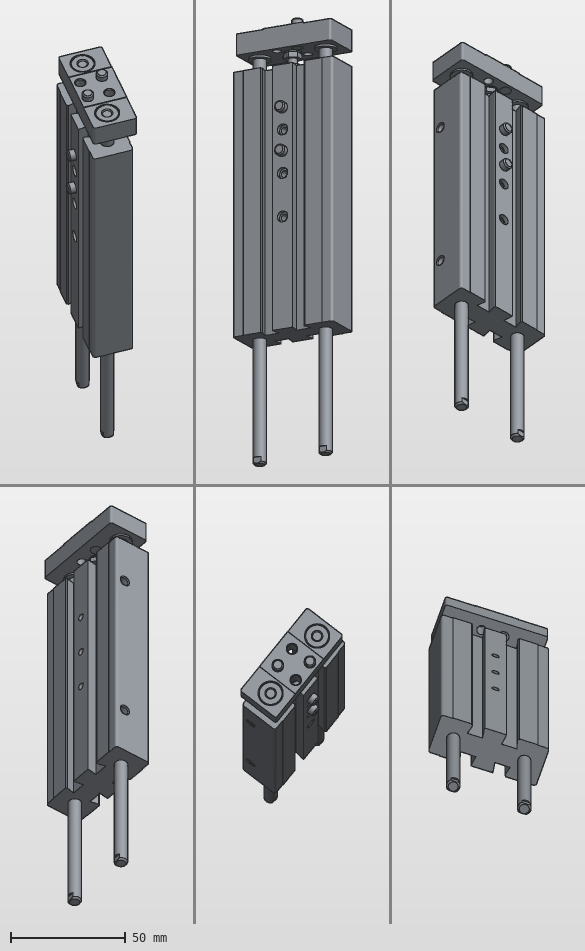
import cadquery as cq
import math

TOTAL_HEIGHT = 200.5
MID_Y = -1.3

HOUSING_WIDTH = 50.0
HOUSING_BOTTOM = 57.5
HOUSING_TOP = 179.5
BODY_HALF_DEPTH = 9.2
PAD_HALF_DEPTH = 9.5
CORNER_RADIUS = 1.2
CENTER_PAD_HALF_WIDTH = 5.0
SIDE_PAD_INNER_X = 11.0
SIDE_PAD_OUTER_X = 19.7

GROOVE_DEPTH = 4.8
GROOVE_FLOOR_INNER_X = 4.5
GROOVE_FLOOR_OUTER_X = 11.5
GROOVE_LIP_X = 10.5
GROOVE_LIP_DEPTH = 0.8

HOLE_PITCH = 10.0
FIRST_HOLE_DROP = 20.0
PINNED_STEPS = (0, 2)
OPEN_STEPS = (1, 3, 5)
MOUNT_HOLE_DIAMETER = 3.2
MOUNT_HOLE_MOUTH = 5.0
MOUNT_MOUTH_DEPTH = 2.0

PORT_Y = 3.2
PORT_HEIGHTS = (81.0, 156.0)
PORT_DIAMETER = 4.0
PORT_MOUTH = 5.0
PORT_DEPTH = 5.0
DRILL_TIP_ANGLE = 118.0

PLATE_WIDTH = 47.5
PLATE_DEPTH = 20.0
PLATE_BOTTOM = 187.4
PLATE_HEIGHT = 9.8
PLATE_RADIUS = 1.0
PLATE_PAD_WIDTH = 20.0
PLATE_PAD_HEIGHT = 0.5
PLATE_HOLE_OFFSET = 5.0
PLATE_HOLE_DIAMETER = 4.2
PLATE_HOLE_MOUTH = 5.0

PIN_DIAMETER = 5.0
PIN_CHAMFER = 0.6
FRONT_PIN_OVERHANG = 3.2
FRONT_PIN_SEAT = 5.0

ROD_X = 16.5
ROD_DIAMETER = 6.0
ROD_HEAD_DIAMETER = 10.0
ROD_HEAD_DROP = 1.0
HEAD_HOLE_MOUTH = 11.0
ROD_CENTER_DIAMETER = 4.0
ROD_CENTER_MOUTH = 5.0
ROD_END_CHAMFER = 0.8
ROD_FLAT_WIDTH = 4.8
ROD_FLAT_LENGTH = 3.0

PISTON_DIAMETER = 4.2
HEX_ACROSS_FLATS = 7.0
COLLAR_DIAMETER = 8.0
COLLAR_HEIGHT = 0.6
UPPER_HEX_BOTTOM = 184.4
LOWER_HEX_TOP = 181.3
PISTON_SEAT = 10.0

HOUSING_LENGTH = HOUSING_TOP - HOUSING_BOTTOM
PLATE_TOP = PLATE_BOTTOM + PLATE_HEIGHT
HEX_ACROSS_CORNERS = HEX_ACROSS_FLATS / math.cos(math.pi / 6)
FRONT_Y = MID_Y - PAD_HALF_DEPTH
FRONT_PIN_END_Y = FRONT_Y - FRONT_PIN_OVERHANG
PAD_TOP = PLATE_TOP + PLATE_PAD_HEIGHT
PLATE_PIN_HOLES = [(side * PLATE_HOLE_OFFSET, MID_Y - side * PLATE_HOLE_OFFSET) for side in (-1, 1)]
PLATE_OPEN_HOLES = [(side * PLATE_HOLE_OFFSET, MID_Y + side * PLATE_HOLE_OFFSET) for side in (-1, 1)]


def cylinder(diameter, x, y, bottom, top):
    """Upright cylinder between two heights."""
    return cq.Workplane("XY", origin=(x, y, bottom)).circle(diameter / 2).extrude(top - bottom)


def block(x_min, x_max, y_min, y_max, bottom, top):
    """Box given by its limits."""
    return cq.Workplane("XY").box(x_max - x_min, y_max - y_min, top - bottom, centered=False).translate(
        (x_min, y_min, bottom)
    )


def upright_cone(wide, narrow, x, y, top):
    """45 degree countersink opening upward, widest at the given height."""
    depth = (wide - narrow) / 2
    cone = cq.Solid.makeCone(wide / 2, narrow / 2, depth, cq.Vector(x, y, top), cq.Vector(0, 0, -1))
    return cq.Workplane(cone)


def hexagon(bottom, top):
    """Hexagonal nut on the piston axis, with corners toward -Y and +Y."""
    nut = cq.Workplane("XY").polygon(6, HEX_ACROSS_CORNERS).extrude(top - bottom)
    return nut.rotate((0, 0, 0), (0, 0, 1), 90).translate((0, MID_Y, bottom))


def hole_height(step):
    return HOUSING_TOP - FIRST_HOLE_DROP - step * HOLE_PITCH


def housing_blank():
    half_width = HOUSING_WIDTH / 2
    blank = block(
        -half_width, half_width, MID_Y - BODY_HALF_DEPTH, MID_Y + BODY_HALF_DEPTH, HOUSING_BOTTOM, HOUSING_TOP
    )
    blank = blank.edges("|Z").fillet(CORNER_RADIUS)
    pads = (
        (-SIDE_PAD_OUTER_X, -SIDE_PAD_INNER_X),
        (-CENTER_PAD_HALF_WIDTH, CENTER_PAD_HALF_WIDTH),
        (SIDE_PAD_INNER_X, SIDE_PAD_OUTER_X),
    )
    for x_min, x_max in pads:
        blank = blank.union(
            block(x_min, x_max, MID_Y - PAD_HALF_DEPTH, MID_Y + PAD_HALF_DEPTH, HOUSING_BOTTOM, HOUSING_TOP)
        )
    return blank


def sensor_groove(side_x, side_y):
    """Full-length undercut groove; the sides are -1 or +1 and pick one of the four grooves."""
    section = [
        (CENTER_PAD_HALF_WIDTH, PAD_HALF_DEPTH),
        (CENTER_PAD_HALF_WIDTH, PAD_HALF_DEPTH - GROOVE_LIP_DEPTH),
        (GROOVE_FLOOR_INNER_X, PAD_HALF_DEPTH - GROOVE_DEPTH),
        (GROOVE_FLOOR_OUTER_X, PAD_HALF_DEPTH - GROOVE_DEPTH),
        (GROOVE_LIP_X, PAD_HALF_DEPTH - GROOVE_LIP_DEPTH),
        (SIDE_PAD_INNER_X, PAD_HALF_DEPTH),
    ]
    outline = [(side_x * x, side_y * depth) for x, depth in section]
    start = cq.Workplane("XY", origin=(0, MID_Y, HOUSING_BOTTOM))
    return start.polyline(outline).close().extrude(HOUSING_LENGTH)


def mount_hole(z):
    """Through hole along Y with a wider mouth at the front."""
    front = cq.Workplane("XZ", origin=(0, FRONT_Y, z))
    bore = front.circle(MOUNT_HOLE_DIAMETER / 2).extrude(-2 * PAD_HALF_DEPTH)
    mouth = front.circle(MOUNT_HOLE_MOUTH / 2).extrude(-MOUNT_MOUTH_DEPTH)
    return bore.union(mouth)


def port(z):
    """Blind drilled port in the -X side with a countersunk mouth and a conical bottom."""
    radius = PORT_DIAMETER / 2
    mouth_radius = PORT_MOUTH / 2
    tip = PORT_DEPTH + radius / math.tan(math.radians(DRILL_TIP_ANGLE / 2))
    section = [
        (0, 0), (0, mouth_radius), (mouth_radius - radius, radius), (PORT_DEPTH, radius), (tip, 0),
    ]
    drilled = cq.Workplane("XY").polyline(section).close().revolve(360, (0, 0), (1, 0))
    return drilled.translate((-HOUSING_WIDTH / 2, PORT_Y, z))


def make_housing():
    housing = housing_blank()
    for side_x in (-1, 1):
        for side_y in (-1, 1):
            housing = housing.cut(sensor_groove(side_x, side_y))
    for x in (-ROD_X, ROD_X):
        housing = housing.cut(cylinder(ROD_DIAMETER, x, MID_Y, HOUSING_BOTTOM, HOUSING_TOP))
    housing = housing.cut(cylinder(PISTON_DIAMETER, 0, MID_Y, HOUSING_TOP - PISTON_SEAT, HOUSING_TOP))
    for step in OPEN_STEPS:
        housing = housing.cut(mount_hole(hole_height(step)))
    for step in PINNED_STEPS:
        housing = housing.cut(front_pin(hole_height(step)))
    for z in PORT_HEIGHTS:
        housing = housing.cut(port(z))
    return housing


def make_end_plate():
    half_width = PLATE_WIDTH / 2
    half_depth = PLATE_DEPTH / 2
    plate = block(-half_width, half_width, -half_depth, half_depth, PLATE_BOTTOM, PLATE_TOP)
    plate = plate.edges("|Z").fillet(PLATE_RADIUS)
    half_pad = PLATE_PAD_WIDTH / 2
    pad = block(-half_pad, half_pad, -half_depth, half_depth, PLATE_TOP, PAD_TOP)
    plate = plate.union(pad)
    for x, y in PLATE_PIN_HOLES:
        plate = plate.cut(cylinder(PIN_DIAMETER, x, y, PLATE_BOTTOM, PAD_TOP))
    for x, y in PLATE_OPEN_HOLES:
        plate = plate.cut(cylinder(PLATE_HOLE_DIAMETER, x, y, PLATE_BOTTOM, PAD_TOP))
        plate = plate.cut(upright_cone(PLATE_HOLE_MOUTH, PLATE_HOLE_DIAMETER, x, y, PAD_TOP))
    for x in (-ROD_X, ROD_X):
        plate = plate.cut(cylinder(ROD_HEAD_DIAMETER, x, MID_Y, PLATE_BOTTOM, PLATE_TOP))
        plate = plate.cut(upright_cone(HEAD_HOLE_MOUTH, ROD_HEAD_DIAMETER, x, MID_Y, PLATE_TOP))
    collar = cylinder(COLLAR_DIAMETER, 0, MID_Y, PLATE_BOTTOM - COLLAR_HEIGHT, PLATE_BOTTOM)
    piston = cylinder(PISTON_DIAMETER, 0, MID_Y, HOUSING_TOP - PISTON_SEAT, PLATE_BOTTOM)
    upper_hex = hexagon(UPPER_HEX_BOTTOM, PLATE_BOTTOM)
    lower_hex = hexagon(HOUSING_TOP, LOWER_HEX_TOP)
    return plate.union(collar).union(piston).union(upper_hex).union(lower_hex)


def guide_rod(x):
    head_bottom = PLATE_BOTTOM - ROD_HEAD_DROP
    rod = cylinder(ROD_DIAMETER, x, MID_Y, 0, head_bottom).faces("<Z").chamfer(ROD_END_CHAMFER)
    half_flat = ROD_FLAT_WIDTH / 2
    for side in (-1, 1):
        near = MID_Y + side * half_flat
        far = MID_Y + side * ROD_DIAMETER
        rod = rod.cut(
            block(x - ROD_DIAMETER, x + ROD_DIAMETER, min(near, far), max(near, far), 0, ROD_FLAT_LENGTH)
        )
    rod = rod.union(cylinder(ROD_HEAD_DIAMETER, x, MID_Y, head_bottom, PLATE_TOP))
    return rod.cut(upright_cone(ROD_CENTER_MOUTH, ROD_CENTER_DIAMETER, x, MID_Y, PLATE_TOP))


def plate_pin(x, y):
    return cylinder(PIN_DIAMETER, x, y, PLATE_BOTTOM, TOTAL_HEIGHT).faces(">Z").chamfer(PIN_CHAMFER)


def front_pin(z):
    length = FRONT_PIN_OVERHANG + FRONT_PIN_SEAT
    pin = cq.Workplane("XZ", origin=(0, FRONT_PIN_END_Y, z)).circle(PIN_DIAMETER / 2).extrude(-length)
    return pin.faces("<Y").chamfer(PIN_CHAMFER)


housing = make_housing()
end_plate = make_end_plate()
guide_rods = [guide_rod(x) for x in (-ROD_X, ROD_X)]
plate_pins = [plate_pin(x, y) for x, y in PLATE_PIN_HOLES]
front_pins = [front_pin(hole_height(step)) for step in PINNED_STEPS]

bodies = [housing, end_plate, *guide_rods, *plate_pins, *front_pins]
result = cq.Compound.makeCompound([body.val() for body in bodies])